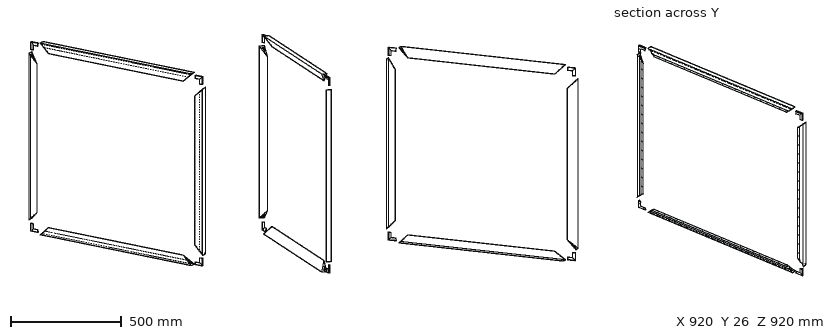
import cadquery as cq

frame_size = 920.0
rail_length = 799.5
rail_width = 43.0
rail_depth = 26.0

section_width = 14.0
section_depth = 7.0
section_setback = 6.0
section_back_y = 0.0
bracket_leg_length = 37.0

front_y = -rail_depth / 2
back_y = rail_depth / 2
section_front_y = section_back_y - section_depth
outer_z = frame_size / 2
inner_z = outer_z - rail_width
section_outer_z = outer_z - section_setback
section_inner_z = section_outer_z - section_width
half_length = rail_length / 2

quarter_turns = [0, 90, 180, 270]


def turned(body, angle):
    """Turn a body about the Y axis through the frame's centre."""
    return body.rotate((0, 0, 0), (0, 1, 0), angle)


def bar_along_x(section, start_x, end_x):
    """Extrude a closed (Y, Z) section between two X positions."""
    return cq.Workplane("YZ", origin=(start_x, 0, 0)).polyline(section).close().extrude(end_x - start_x)


def plate_through_y(outline):
    """Extrude a closed (X, Z) outline over the full rail depth."""
    return cq.Workplane("XZ").polyline(outline).close().extrude(rail_depth / 2, both=True)


def triangle_section(section_front, section_back, deep_z, tip_z):
    """Right triangle with a flat front, deepest at its outer side and tapering to a tip."""
    return [(section_front, deep_z), (section_back, deep_z), (section_front, tip_z)]


rail_section = triangle_section(front_y, back_y, outer_z, inner_z)
bracket_section = triangle_section(section_front_y, section_back_y, section_outer_z, section_inner_z)


def make_rail():
    """Top rail: a wedge with 45 degree ends and a bracket slot along its whole length."""
    inner_half_length = half_length - rail_width
    mitred_outline = [
        (-half_length, outer_z),
        (half_length, outer_z),
        (inner_half_length, inner_z),
        (-inner_half_length, inner_z),
    ]
    wedge = bar_along_x(rail_section, -half_length, half_length)
    bracket_slot = bar_along_x(bracket_section, -half_length, half_length)
    return wedge.cut(bracket_slot).intersect(plate_through_y(mitred_outline))


def make_corner_bracket():
    """Bracket at the corner toward +X and +Z: two equal legs that meet on a 45 degree mitre."""
    corner = section_outer_z
    leg_end = corner - bracket_leg_length
    leg_outline = [
        (leg_end, corner),
        (corner, corner),
        (section_inner_z, section_inner_z),
        (leg_end, section_inner_z),
    ]
    top_leg = bar_along_x(bracket_section, leg_end, corner).intersect(plate_through_y(leg_outline))
    side_leg = turned(top_leg.mirror("YZ"), 90)
    return top_leg.union(side_leg, clean=False)


rails = [turned(make_rail(), angle).solids().val() for angle in quarter_turns]
corner_brackets = [turned(make_corner_bracket(), angle).solids().val() for angle in quarter_turns]

result = cq.Compound.makeCompound([*rails, *corner_brackets])